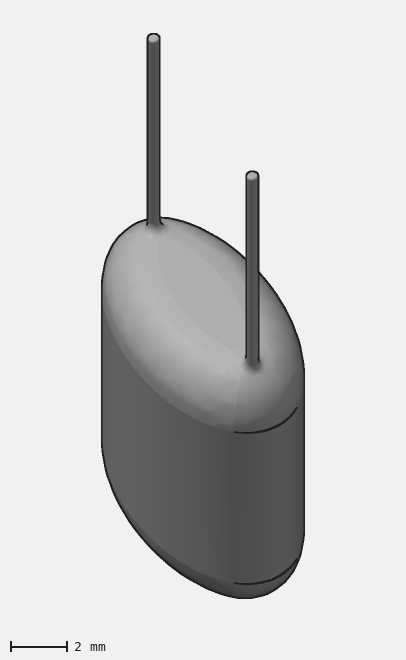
import cadquery as cq
import math

body_length = 10.5
body_width = 6.0
body_height = 12.0
body_round = 2.0

lead_spacing = 7.5
lead_diameter = 0.45
lead_height = 10.0
lead_embed = 1.0
lead_tip_round = 0.1
lead_root_round = 0.4

root_depth = 0.4
root_clearance = 0.03

half_length = body_length / 2
half_width = body_width / 2

touch_sin = math.sqrt(
    ((body_round * half_length / half_width) ** 2 - half_width**2) / (half_length**2 - half_width**2)
)
touch_angle = math.asin(touch_sin)
touch_x = half_length * math.cos(touch_angle)
touch_y = half_width * touch_sin
lens_tip_x = touch_x * (1 - (half_width / half_length) ** 2)
ball_end_x = lens_tip_x + body_round


def long_side(start_angle):
    """Return the point function of the elliptical long side that begins at start_angle."""
    angle_span = math.pi - 2 * touch_angle

    def point(t):
        angle = start_angle + t * angle_span
        return (half_length * math.cos(angle), half_width * math.sin(angle))

    return point


def make_rounded_core():
    """Elliptical long sides joined by ball-radius ends, rounded at top and bottom."""
    outline = (
        cq.Workplane("XY")
        .moveTo(touch_x, touch_y)
        .parametricCurve(long_side(touch_angle), makeWire=False)
        .threePointArc((-ball_end_x, 0), (-touch_x, -touch_y))
        .parametricCurve(long_side(math.pi + touch_angle), makeWire=False)
        .threePointArc((ball_end_x, 0), (touch_x, touch_y))
        .wire()
    )
    return outline.extrude(body_height).faces("<Z or >Z").edges().fillet(body_round)


def make_body():
    """Rounded core whose straight middle is replaced by the full ellipse."""
    shaft_height = body_height - 2 * body_round
    middle = cq.Workplane("XY").workplane(offset=body_round)
    band = middle.rect(2 * body_length, 2 * body_width).extrude(shaft_height)
    shaft = middle.ellipse(half_length, half_width).extrude(shaft_height)
    return make_rounded_core().cut(band).union(shaft)


def make_lead(x):
    """Wire with a rounded tip, sunk a little into the body."""
    return (
        cq.Workplane("XY")
        .workplane(offset=body_height - lead_embed)
        .center(x, 0)
        .circle(lead_diameter / 2)
        .extrude(lead_embed + lead_height)
        .faces(">Z")
        .edges()
        .fillet(lead_tip_round)
    )


def blend_lead_root(part, x):
    """Fillet the edge where the lead at x leaves the rounded top of the body."""
    root_zone = cq.selectors.BoxSelector(
        (x - lead_diameter, -lead_diameter, body_height - root_depth),
        (x + lead_diameter, lead_diameter, body_height - root_clearance),
    )
    return part.edges(root_zone).fillet(lead_root_round)


result = make_body()
lead_positions = [-lead_spacing / 2, lead_spacing / 2]
for lead_x in lead_positions:
    result = result.union(make_lead(lead_x))
for lead_x in lead_positions:
    result = blend_lead_root(result, lead_x)